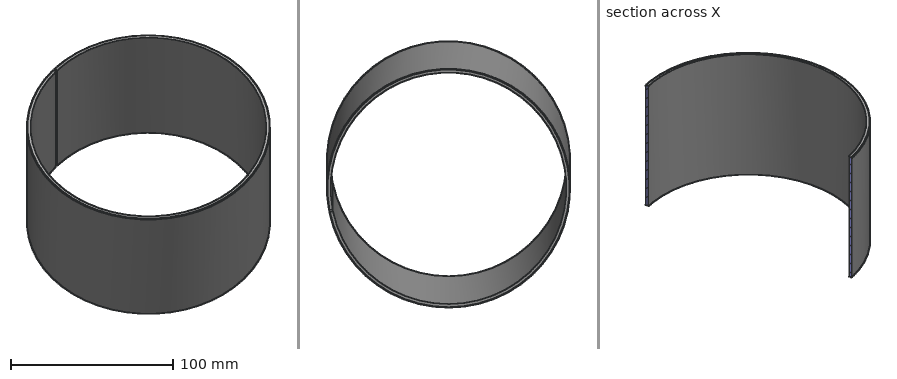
import cadquery as cq
import math

outer_diameter = 150.0
wall = 2.4
height = 90.0
rim_chamfer = 0.5
slit_angle = 1.0

outer_radius = outer_diameter / 2
inner_radius = outer_radius - wall

outer_body = (
    cq.Workplane("XY")
    .circle(outer_radius)
    .extrude(height)
    .edges("%CIRCLE")
    .chamfer(rim_chamfer)
)

bore = cq.Workplane("XY").circle(inner_radius).extrude(height)

wedge_length = outer_diameter
wedge_width = wedge_length * math.tan(math.radians(slit_angle))
slit = (
    cq.Workplane("XY")
    .polyline([(0, 0), (-wedge_length, 0), (-wedge_length, wedge_width)])
    .close()
    .extrude(height)
)

result = outer_body.cut(bore).cut(slit)